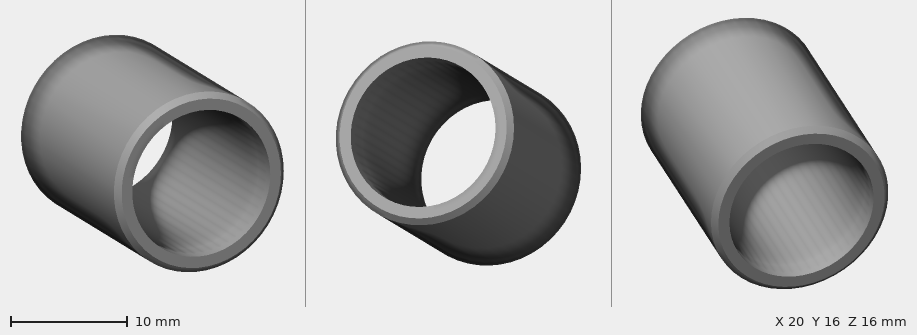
import cadquery as cq

length = 20.0
outer_diameter = 16.0
bore_diameter = 13.0
chamfer_size = 0.5

end_plane = cq.Workplane("YZ", origin=(-length / 2, 0, 0))

sleeve = end_plane.circle(outer_diameter / 2).extrude(length)
sleeve = sleeve.faces("<X or >X").edges().chamfer(chamfer_size)

bore = end_plane.circle(bore_diameter / 2).extrude(length)

result = sleeve.cut(bore)